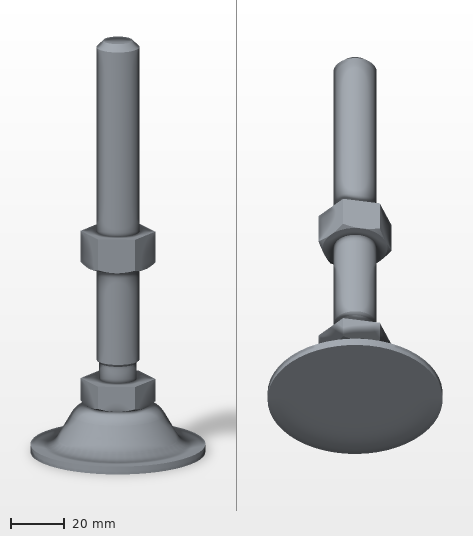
import cadquery as cq
import math

FLANGE_DIAMETER = 65.0
FLANGE_HEIGHT = 3.0
DOME_BASE_RADIUS = 24.0
DOME_ANGLE = 60
FOOT_HEIGHT = 18.5
DOME_BASE_FILLET = 5.0
DOME_TOP_FILLET = 7.7

ACROSS_FLATS = 24.0
HEX_CHAMFER_ANGLE = 30

TOTAL_HEIGHT = 158
SPINDLE_HEX_HEIGHT = 9.6
NECK_DIAMETER = 13.9
SHANK_DIAMETER = 16.0
SHANK_BOTTOM = 34.5
TIP_CHAMFER = 2.5

NUT_BOTTOM = 71.7
NUT_HEIGHT = 13.0


def make_foot():
    """Solid flange and dome, with rounded dome top and base."""
    dome_height = FOOT_HEIGHT - FLANGE_HEIGHT
    dome_top_radius = DOME_BASE_RADIUS - dome_height / math.tan(math.radians(DOME_ANGLE))
    flange_radius = FLANGE_DIAMETER / 2
    outline = [
        (0, 0),
        (flange_radius, 0),
        (flange_radius, FLANGE_HEIGHT),
        (DOME_BASE_RADIUS, FLANGE_HEIGHT),
        (dome_top_radius, FOOT_HEIGHT),
        (0, FOOT_HEIGHT),
    ]
    foot = cq.Workplane("XZ").polyline(outline).close().revolve(360, (0, 0), (0, 1))
    foot = foot.faces(">Z").edges().fillet(DOME_TOP_FILLET)
    dome_base = cq.selectors.RadiusNthSelector(-2)
    return foot.edges("%CIRCLE").edges(dome_base).fillet(DOME_BASE_FILLET)


def make_hexagon(bottom, height):
    """Hexagonal prism with corners along X, its lower corners cut by a cone."""
    inner_radius = ACROSS_FLATS / 2
    corner_radius = inner_radius / math.cos(math.pi / 6)
    chamfer_rise = (corner_radius - inner_radius) * math.tan(math.radians(HEX_CHAMFER_ANGLE))
    prism = cq.Workplane("XY").polygon(6, 2 * corner_radius).extrude(height)
    envelope_outline = [
        (0, 0),
        (inner_radius, 0),
        (corner_radius, chamfer_rise),
        (corner_radius, height),
        (0, height),
    ]
    envelope = cq.Workplane("XZ").polyline(envelope_outline).close().revolve(360, (0, 0), (0, 1))
    return prism.intersect(envelope).translate((0, 0, bottom))


def make_spindle():
    """Hexagon resting on the foot, with a neck and a shank chamfered at both ends."""
    hex_top = FOOT_HEIGHT + SPINDLE_HEX_HEIGHT
    neck = (
        cq.Workplane("XY", origin=(0, 0, hex_top))
        .circle(NECK_DIAMETER / 2)
        .extrude(SHANK_BOTTOM - hex_top)
    )
    shank = (
        cq.Workplane("XY", origin=(0, 0, SHANK_BOTTOM))
        .circle(SHANK_DIAMETER / 2)
        .extrude(TOTAL_HEIGHT - SHANK_BOTTOM)
    )
    shank = shank.faces("<Z").edges().chamfer((SHANK_DIAMETER - NECK_DIAMETER) / 2)
    shank = shank.faces(">Z").edges().chamfer(TIP_CHAMFER)
    return make_hexagon(FOOT_HEIGHT, SPINDLE_HEX_HEIGHT).union(neck).union(shank)


def make_lock_nut():
    """Hexagonal nut with a bore that fits the shank."""
    bore = (
        cq.Workplane("XY", origin=(0, 0, NUT_BOTTOM))
        .circle(SHANK_DIAMETER / 2)
        .extrude(NUT_HEIGHT)
    )
    return make_hexagon(NUT_BOTTOM, NUT_HEIGHT).cut(bore)


foot = make_foot()
spindle = make_spindle()
lock_nut = make_lock_nut()
result = cq.Compound.makeCompound([foot.val(), spindle.val(), lock_nut.val()])